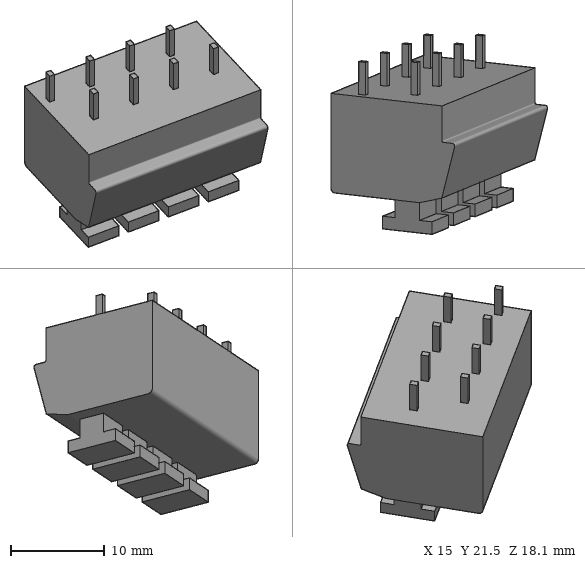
import cadquery as cq
import math

length = 21.5
overall_depth = 15.0
overall_height = 18.1
top_depth = 13.5
ledge_drop = 4.0
slope_angle = math.radians(15)
slope_foot_height = 0.77
underside_depth = 10.75
back_fillet = 0.52
catch_fillet = 0.3
ledge_fillet = 0.15

foot_count = 4
foot_thickness = 1.4
foot_depth = 6.0
stem_depth = 3.0
stem_height = 2.2
foot_width = 3.83
foot_x = 8.75
last_foot_inset = 3.61

pin_count = 8
pin_span = 17.5
pin_depth = 0.82
pin_width = 0.6
pin_height = 3.6
pin_row_x = 3.3
last_pin_inset = 2.75

pin_step = pin_span / (pin_count - 1)
row_pitch = 2 * pin_step
foot_pitch = 2 * pin_step
body_height = overall_height - pin_height - stem_height - foot_thickness
ledge_z = body_height - ledge_drop


def make_housing():
    """Extrude the housing profile along Y and round its three long edges."""
    corner_half_angle = (math.pi / 2 - slope_angle) / 2
    catch_x = overall_depth + catch_fillet * (1 / math.tan(corner_half_angle) - 1)
    slope_foot_x = catch_x - (ledge_z - slope_foot_height) * math.tan(slope_angle)
    profile = [
        (0, 0),
        (0, body_height),
        (top_depth, body_height),
        (top_depth, ledge_z),
        (catch_x, ledge_z),
        (slope_foot_x, slope_foot_height),
        (underside_depth, 0),
    ]
    body = cq.Workplane("XZ", origin=(0, length, 0)).polyline(profile).close().extrude(length)
    rounded_edges = [
        (0, 0, back_fillet),
        (top_depth, ledge_z, ledge_fillet),
        (catch_x, ledge_z, catch_fillet),
    ]
    for x, z, radius in rounded_edges:
        body = body.edges(cq.selectors.NearestToPointSelector((x, length / 2, z))).fillet(radius)
    return body


def make_foot(y):
    """Return one inverted-T foot centred at y, hanging from the underside."""
    stem = cq.Workplane("XY", origin=(foot_x, y, 0)).rect(stem_depth, foot_width).extrude(-stem_height)
    plate = (
        cq.Workplane("XY", origin=(foot_x, y, -stem_height))
        .rect(foot_depth, foot_width)
        .extrude(-foot_thickness)
    )
    return stem.union(plate)


def make_pin(x, y):
    """Return one rectangular pin standing on the top face."""
    return cq.Workplane("XY", origin=(x, y, body_height)).rect(pin_depth, pin_width).extrude(pin_height)


result = make_housing()

for index in range(foot_count):
    result = result.union(make_foot(length - last_foot_inset - index * foot_pitch))

for index in range(pin_count):
    row_offset = row_pitch if index % 2 == 0 else 0
    result = result.union(make_pin(pin_row_x + row_offset, length - last_pin_inset - index * pin_step))